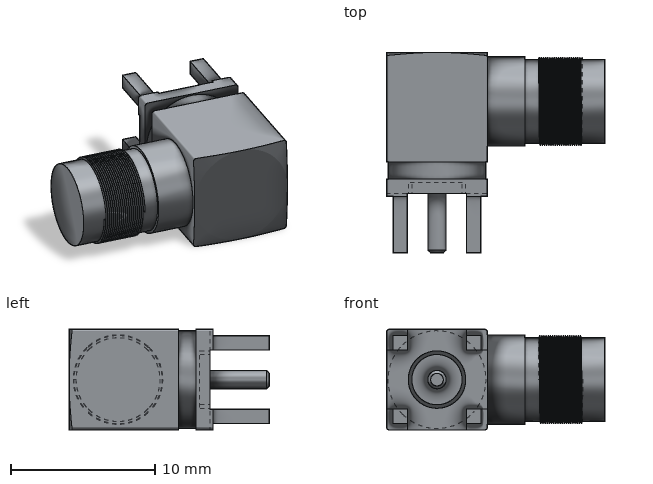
import cadquery as cq


body_width = 7.0
body_depth = 7.59
corner_radius = 0.21
crown_radius = body_width / 2
crown_drop = 0.21
crown_rim_radius = 4.92

neck_diameter = 6.79
neck_length = 1.2
pad_height = 0.2
pad_size = 1.45
plate_thickness = 1.0

leg_size = 1.0
leg_length = 3.91
pin_diameter = 1.27
pin_chamfer = 0.2
groove_outer_diameter = 3.98
groove_inner_diameter = 3.48
groove_depth = 0.75

barrel_center_y = 4.2
barrel_diameter = 5.82
barrel_end = 11.65
collar_diameter = 6.21
collar_end = 6.09

thread_start = 7.09
thread_pitch = 0.148
thread_turns = 20
thread_height = 0.15
thread_base_width = 0.142
thread_embed = 0.03

half_width = body_width / 2
plate_back = -neck_length
plate_front = plate_back - plate_thickness
pad_front = plate_front - pad_height
leg_tip = pad_front - leg_length


def front_plane(y):
    """Plane facing -Y at the given Y, with local X and Y along global X and Z."""
    return cq.Workplane("XZ", origin=(0, y, 0))


def rounded_square(y_front, length):
    """Square block centred on the pin axis, running from y_front toward +Y."""
    block = front_plane(y_front).rect(body_width, body_width).extrude(-length)
    return block.edges("|Y").fillet(corner_radius)


def make_body():
    """Body block whose rear corners are turned down by a shallow cone about the pin axis."""
    envelope = (
        cq.Workplane("XY")
        .lineTo(crown_rim_radius, 0)
        .lineTo(crown_rim_radius, body_depth - crown_drop)
        .lineTo(crown_radius, body_depth)
        .lineTo(0, body_depth)
        .close()
        .revolve(360, (0, 0, 0), (0, 1, 0))
    )
    return rounded_square(0, body_depth).intersect(envelope)


def make_plate():
    """Neck and mounting plate with four raised corner pads and an annular groove."""
    neck = front_plane(0).circle(neck_diameter / 2).extrude(neck_length)
    plate = rounded_square(pad_front, plate_thickness + pad_height)
    channel_width = body_width - 2 * pad_size
    for width, height in ((channel_width, body_width), (body_width, channel_width)):
        plate = plate.cut(front_plane(plate_front).rect(width, height).extrude(pad_height))
    groove = (
        front_plane(plate_front)
        .circle(groove_outer_diameter / 2)
        .circle(groove_inner_diameter / 2)
        .extrude(-groove_depth)
    )
    return neck.union(plate).cut(groove)


def make_legs():
    """Four square legs, flush with the inner edges of the corner pads."""
    spacing = body_width - 2 * pad_size + leg_size
    return (
        front_plane(pad_front)
        .rect(spacing, spacing, forConstruction=True)
        .vertices()
        .rect(leg_size, leg_size)
        .extrude(leg_length)
    )


def make_pin():
    """Contact pin with a chamfered tip, level with the leg tips."""
    pin = front_plane(plate_front).circle(pin_diameter / 2).extrude(plate_front - leg_tip)
    return pin.faces("<Y").chamfer(pin_chamfer)


def barrel_cylinder(diameter, x_end):
    """Cylinder on the barrel axis, from the +X side of the body to x_end."""
    base_plane = cq.Plane(origin=(half_width, barrel_center_y, 0), xDir=(0, 0, 1), normal=(1, 0, 0))
    return cq.Workplane(base_plane).circle(diameter / 2).extrude(x_end - half_width)


def make_thread():
    """Right-handed V-shaped ridge swept along a helix around the barrel."""
    surface = barrel_diameter / 2
    half_base = thread_base_width / 2
    path = cq.Wire.makeHelix(thread_pitch, thread_pitch * thread_turns, surface)
    ridge = (
        cq.Workplane("XZ")
        .moveTo(surface - thread_embed, -half_base)
        .lineTo(surface + thread_height, 0)
        .lineTo(surface - thread_embed, half_base)
        .close()
        .sweep(cq.Workplane(path), isFrenet=True)
    )
    ridge = ridge.rotate((0, 0, 0), (0, 1, 0), 90).rotate((0, 0, 0), (1, 0, 0), 90)
    return ridge.translate((thread_start, barrel_center_y, 0))


result = (
    make_body()
    .union(make_plate())
    .union(make_legs())
    .union(make_pin())
    .union(barrel_cylinder(collar_diameter, collar_end))
    .union(barrel_cylinder(barrel_diameter, barrel_end).union(make_thread()))
)